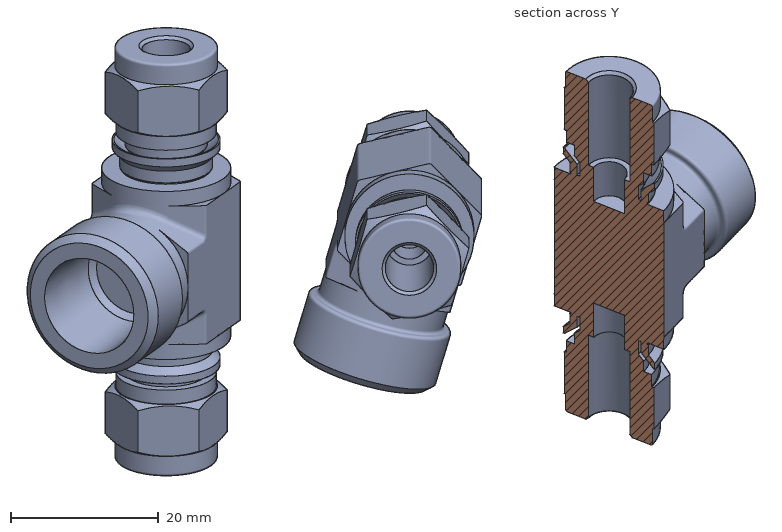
import cadquery as cq
import math

half_side_angle = math.radians(30)

run_half_length = 29.95
branch_end_y = -22.45

body_across_flats = 17.5
body_radius = body_across_flats / 2
body_corner_radius = body_radius / math.cos(half_side_angle)
flat_half_width = body_radius * math.tan(half_side_angle)
tangent_offset = body_radius * math.sin(half_side_angle)
tangent_reach = body_radius * math.cos(half_side_angle)
body_hex_half_height = 10.05
body_half_length = 12.2
branch_hex_length = 10.35
inner_corner_fillet = 0.99
hex_edge_fillet = 0.5

collar_diameter = 20.0
collar_start_y = -14.0
collar_chamfer = 1.0
collar_fillet = 0.5

port_mouth_diameter = 13.6
port_inner_diameter = 12.8
port_floor_diameter = 11.15
port_taper_depth = 12.0

undercut_diameter = 12.2
neck_diameter = 12.6
neck_start_z = 12.45
flange_diameter = 14.6
flange_start_z = 15.2
flange_end_z = 16.35

post_diameter = 9.4
post_head_diameter = 11.15
post_head_start_z = 15.6
recess_bore_diameter = 10.1
recess_mouth_diameter = 14.15
recess_floor_z = neck_start_z

nut_skirt_diameter = 13.6
nut_skirt_start_z = 17.4
nut_hex_across_flats = 14.3
nut_hex_start_z = 19.45
nut_hex_end_z = 27.0
nut_collar_diameter = 13.9
nut_edge_fillet = 0.35
nut_chamfer_angle = math.radians(30)

tube_bore_diameter = 6.5
tube_mouth_chamfer = 0.4
tube_stop_z = 14.95
blind_bore_diameter = 4.85
blind_bore_floor_z = 9.0

tolerance = 0.3


def cylinder(diameter, start_z, end_z):
    return cq.Workplane("XY").workplane(offset=start_z).circle(diameter / 2).extrude(end_z - start_z)


def revolve(half_profile):
    """Close a half profile and turn it about the vertical axis of its sketch plane."""
    return half_profile.close().revolve(360, (0, 0, 0), (0, 1, 0))


def run_hex():
    """Prism along Z: full hexagon on the +Y side, rounded between the two -Y flats."""
    return (
        cq.Workplane("XY").workplane(offset=-body_hex_half_height)
        .moveTo(tangent_offset, -tangent_reach)
        .lineTo(body_radius, -flat_half_width)
        .lineTo(body_radius, flat_half_width)
        .lineTo(0, body_corner_radius)
        .lineTo(-body_radius, flat_half_width)
        .lineTo(-body_radius, -flat_half_width)
        .lineTo(-tangent_offset, -tangent_reach)
        .threePointArc((0, -body_radius), (tangent_offset, -tangent_reach))
        .close()
        .extrude(2 * body_hex_half_height)
    )


def branch_hex():
    """Prism towards -Y: flat sides, sloping facets above and below, rounded top and bottom."""
    return (
        cq.Workplane("XZ")
        .moveTo(tangent_offset, tangent_reach)
        .lineTo(body_radius, flat_half_width)
        .lineTo(body_radius, -flat_half_width)
        .lineTo(tangent_offset, -tangent_reach)
        .threePointArc((0, -body_radius), (-tangent_offset, -tangent_reach))
        .lineTo(-body_radius, -flat_half_width)
        .lineTo(-body_radius, flat_half_width)
        .lineTo(-tangent_offset, tangent_reach)
        .threePointArc((0, body_radius), (tangent_offset, tangent_reach))
        .close()
        .extrude(branch_hex_length)
    )


def tee_body():
    core = run_hex()
    core = core.union(cylinder(body_across_flats, -body_half_length, body_half_length))
    core = core.union(branch_hex())

    inner_corners = [
        edge for edge in core.edges().vals()
        if abs(abs(edge.Center().z) + edge.Center().y) < tolerance
    ]
    core = core.newObject(inner_corners).fillet(inner_corner_fillet)

    side_corners = [
        edge for edge in core.edges().vals()
        if abs(abs(edge.Center().x) - body_radius) < tolerance
        and abs(edge.Center().z) < body_hex_half_height - tolerance
        and edge.Center().y > -branch_hex_length + tolerance
    ]
    back_corner = core.edges(">Y and |Z").vals()
    return core.newObject(side_corners + back_corner).fillet(hex_edge_fillet)


def branch_collar():
    """Round branch and its collar, revolved about the Y axis."""
    collar_radius = collar_diameter / 2
    neck_fillet_start_y = collar_start_y + collar_fillet
    fillet_middle = collar_fillet * (1 - math.sqrt(0.5))
    return revolve(
        cq.Workplane("XY")
        .lineTo(body_radius, 0)
        .lineTo(body_radius, neck_fillet_start_y)
        .threePointArc(
            (body_radius + fillet_middle, collar_start_y + fillet_middle),
            (body_radius + collar_fillet, collar_start_y),
        )
        .lineTo(collar_radius - collar_fillet, collar_start_y)
        .threePointArc(
            (collar_radius - fillet_middle, collar_start_y - fillet_middle),
            (collar_radius, collar_start_y - collar_fillet),
        )
        .lineTo(collar_radius, branch_end_y + collar_chamfer)
        .lineTo(collar_radius - collar_chamfer, branch_end_y)
        .lineTo(0, branch_end_y)
    )


def port_bore():
    """Tapered bore of the branch, with a 45 degree step down to a flat floor."""
    step_y = branch_end_y + port_taper_depth
    floor_y = step_y + (port_inner_diameter - port_floor_diameter) / 2
    return revolve(
        cq.Workplane("XY")
        .moveTo(0, branch_end_y)
        .lineTo(port_mouth_diameter / 2, branch_end_y)
        .lineTo(port_inner_diameter / 2, step_y)
        .lineTo(port_floor_diameter / 2, floor_y)
        .lineTo(0, floor_y)
    )


def run_neck():
    """Undercut, neck and coned flange above the body, dished around a headed inner post."""
    flange_cone_start_z = flange_start_z - (flange_diameter - neck_diameter) / 2
    recess_cone_start_z = flange_end_z - (recess_mouth_diameter - recess_bore_diameter) / 2
    post_cone_start_z = post_head_start_z - (post_head_diameter - post_diameter) / 2
    return revolve(
        cq.Workplane("XZ")
        .lineTo(undercut_diameter / 2, 0)
        .lineTo(undercut_diameter / 2, neck_start_z)
        .lineTo(neck_diameter / 2, neck_start_z)
        .lineTo(neck_diameter / 2, flange_cone_start_z)
        .lineTo(flange_diameter / 2, flange_start_z)
        .lineTo(flange_diameter / 2, flange_end_z)
        .lineTo(recess_mouth_diameter / 2, flange_end_z)
        .lineTo(recess_bore_diameter / 2, recess_cone_start_z)
        .lineTo(recess_bore_diameter / 2, recess_floor_z)
        .lineTo(post_diameter / 2, recess_floor_z)
        .lineTo(post_diameter / 2, post_cone_start_z)
        .lineTo(post_head_diameter / 2, post_head_start_z)
        .lineTo(post_head_diameter / 2, nut_skirt_start_z)
        .lineTo(0, nut_skirt_start_z)
    )


def nut_hex():
    """Hexagon with corners on the Y axis, both ends turned back to the collar by a cone."""
    height = nut_hex_end_z - nut_hex_start_z
    corner_diameter = nut_hex_across_flats / math.cos(half_side_angle)
    prism = (
        cq.Workplane("XY").workplane(offset=nut_hex_start_z)
        .transformed(rotate=(0, 0, math.degrees(half_side_angle)))
        .polygon(6, corner_diameter)
        .extrude(height)
    )
    cone_rise = (corner_diameter - nut_collar_diameter) / 2
    cone_drop = cone_rise * math.tan(nut_chamfer_angle)
    turned_blank = cylinder(corner_diameter, nut_hex_start_z, nut_hex_end_z)
    turned_blank = turned_blank.edges().chamfer(cone_drop, cone_rise)
    return prism.intersect(turned_blank)


def compression_nut():
    skirt = cylinder(nut_skirt_diameter, nut_skirt_start_z, nut_hex_start_z)
    collar = cylinder(nut_collar_diameter, nut_hex_end_z, run_half_length)
    collar = collar.faces(">Z").edges().fillet(nut_edge_fillet)
    return skirt.union(nut_hex()).union(collar)


def tube_bore():
    """Tube socket with a chamfered mouth, and the narrower blind bore below it."""
    socket_radius = tube_bore_diameter / 2
    return revolve(
        cq.Workplane("XZ")
        .moveTo(0, run_half_length)
        .lineTo(socket_radius + tube_mouth_chamfer, run_half_length)
        .lineTo(socket_radius, run_half_length - tube_mouth_chamfer)
        .lineTo(socket_radius, tube_stop_z)
        .lineTo(blind_bore_diameter / 2, tube_stop_z)
        .lineTo(blind_bore_diameter / 2, blind_bore_floor_z)
        .lineTo(0, blind_bore_floor_z)
    )


upper_end = run_neck().union(compression_nut())
upper_bore = tube_bore()

result = tee_body().union(branch_collar())
result = result.union(upper_end).union(upper_end.mirror("XY"))
result = result.cut(upper_bore).cut(upper_bore.mirror("XY"))
result = result.cut(port_bore())